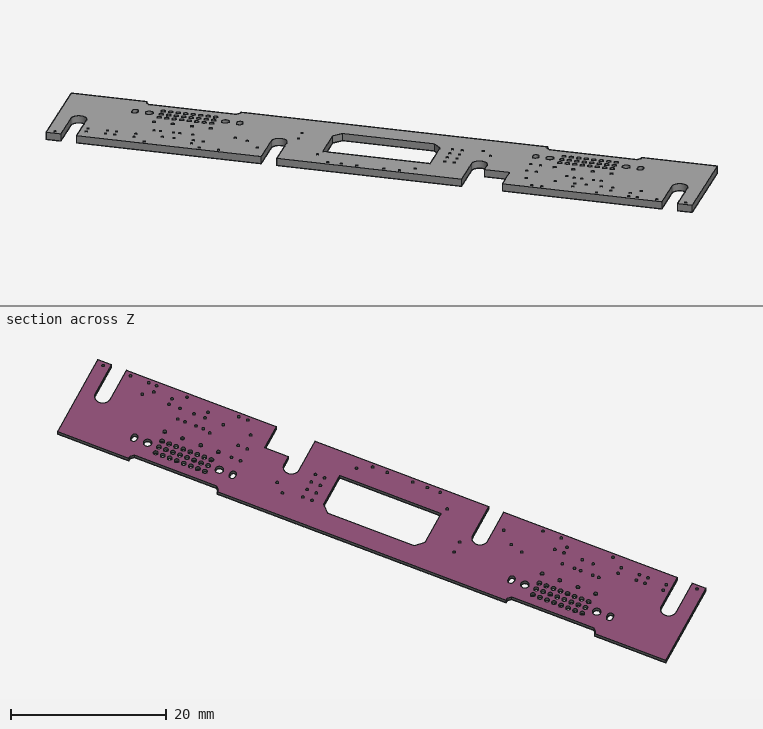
import cadquery as cq

LENGTH = 86
WIDTH = 12.5
THICKNESS = 1.0

SLOT_PITCH = 26.7
SLOT_FIRST_X = 3.0
SLOT_COUNT = 4
SLOT_WIDTH = 2.1
SLOT_DEPTH = 6.0
STEPPED_SLOT = 2

SLOT_XS = [SLOT_FIRST_X + i * SLOT_PITCH for i in range(SLOT_COUNT)]
CONNECTOR_XS = [x + SLOT_PITCH / 2 for x in SLOT_XS[::2]]
CONNECTOR_Y = 9.2

LEDGE_Y = 3.6
NOTCH_RIGHT = 60.7

WINDOW_LEFT = 35.9
WINDOW_RIGHT = 50.1
WINDOW_TOP = 9.55
WINDOW_CHAMFER = 1.0

RECESS_LENGTH = 12.5
RECESS_DEPTH = 0.8
RECESS_CHAMFER = 0.4

PIN_COLUMNS = 8
PIN_ROWS = 3
PIN_ROW_LENGTH = 7.0
PIN_PITCH = PIN_ROW_LENGTH / (PIN_COLUMNS - 1)
PIN_DIAMETER = 0.56
LOCATOR_SPACING = 10.15
LOCATOR_DIAMETER = 1.0
TAB_SPACING = 13.9
TAB_LENGTH = 1.1
TAB_WIDTH = 0.8
TAB_ANGLE = 90
CONTACT_OFFSETS = [-3.8, -1.3, 1.3, 3.8]
CONTACT_Y = 6.7
CONTACT_DIAMETER = 0.4

VIA_DIAMETER = 0.3
VIA_GROUPS = [
    ([51.8, 53.1], [4.7, 6.0, 7.3, 8.6]),
    ([62.7, 64.0], [4.7, 6.8]),
]
VIA_ROWS = {
    0.6: [
        1.0, 12.9, 20.2, 22.8, 37.3, 39.1, 41.2, 44.8, 46.9, 64.5,
        65.8, 73.1, 77.4, 78.5, 81.1, 85.0,
    ],
    1.6: [4.9, 7.5, 8.7, 11.3, 18.9, 48.7, 69.7, 74.7, 77.3],
    2.6: [
        4.9, 7.5, 8.7, 11.3, 14.8, 16.3, 18.9, 20.2, 27.4, 35.4,
        63.2, 67.1, 69.7, 71.2, 73.2, 74.7, 78.5,
    ],
    4.2: [13.25, 14.1, 15.8, 16.7, 18.4, 25.6, 69.15, 70.2, 71.7, 72.75],
    4.5: [68.1],
    4.7: [23.9],
    6.6: [31.8],
    7.9: [57.0],
    8.3: [31.8],
    9.1: [55.7],
}


def box(left, right, bottom, top):
    """Block of the full board thickness over a rectangle in plan."""
    return (
        cq.Workplane("XY")
        .box(right - left, top - bottom, THICKNESS, centered=False)
        .translate((left, bottom, 0))
    )


def holes(points, diameter):
    """Round cutters through the full thickness."""
    return cq.Workplane("XY").pushPoints(points).circle(diameter / 2).extrude(THICKNESS)


def mounting_slot(x):
    """Slot open to the front edge, with a half-round inner end."""
    radius = SLOT_WIDTH / 2
    end_y = SLOT_DEPTH - radius
    return box(x - radius, x + radius, 0, end_y).union(holes([(x, end_y)], SLOT_WIDTH))


def rear_recess(x):
    """Recess in the rear edge, with chamfered inner corners."""
    half = RECESS_LENGTH / 2
    recess = box(x - half, x + half, WIDTH - RECESS_DEPTH, WIDTH)
    return recess.edges("|Z and <Y").chamfer(RECESS_CHAMFER)


def window():
    """Through opening with its two upper corners chamfered."""
    opening = box(WINDOW_LEFT, WINDOW_RIGHT, LEDGE_Y, WINDOW_TOP)
    return opening.edges("|Z and >Y").chamfer(WINDOW_CHAMFER)


def pair(x, spacing):
    """Two points on the connector axis, placed evenly either side of x."""
    return [(x + side * spacing / 2, CONNECTOR_Y) for side in (-1, 1)]


def connector_holes(x):
    """All the holes of one connector, centred on x."""
    pins = (
        cq.Workplane("XY", origin=(x, CONNECTOR_Y, 0))
        .rarray(PIN_PITCH, PIN_PITCH, PIN_COLUMNS, PIN_ROWS)
        .circle(PIN_DIAMETER / 2)
        .extrude(THICKNESS)
    )
    tabs = (
        cq.Workplane("XY")
        .pushPoints(pair(x, TAB_SPACING))
        .slot2D(TAB_LENGTH, TAB_WIDTH, TAB_ANGLE)
        .extrude(THICKNESS)
    )
    locators = holes(pair(x, LOCATOR_SPACING), LOCATOR_DIAMETER)
    contacts = holes([(x + offset, CONTACT_Y) for offset in CONTACT_OFFSETS], CONTACT_DIAMETER)
    return [pins, tabs, locators, contacts]


def vias():
    """All the small vias of the board."""
    points = [(x, y) for xs, ys in VIA_GROUPS for x in xs for y in ys]
    points += [(x, y) for y, xs in VIA_ROWS.items() for x in xs]
    return holes(points, VIA_DIAMETER)


cutters = [mounting_slot(x) for x in SLOT_XS]
cutters.append(box(SLOT_XS[STEPPED_SLOT], NOTCH_RIGHT, 0, LEDGE_Y))
cutters.append(window())
for connector_x in CONNECTOR_XS:
    cutters.append(rear_recess(connector_x))
    cutters += connector_holes(connector_x)
cutters.append(vias())

result = box(0, LENGTH, 0, WIDTH)
for cutter in cutters:
    result = result.cut(cutter)